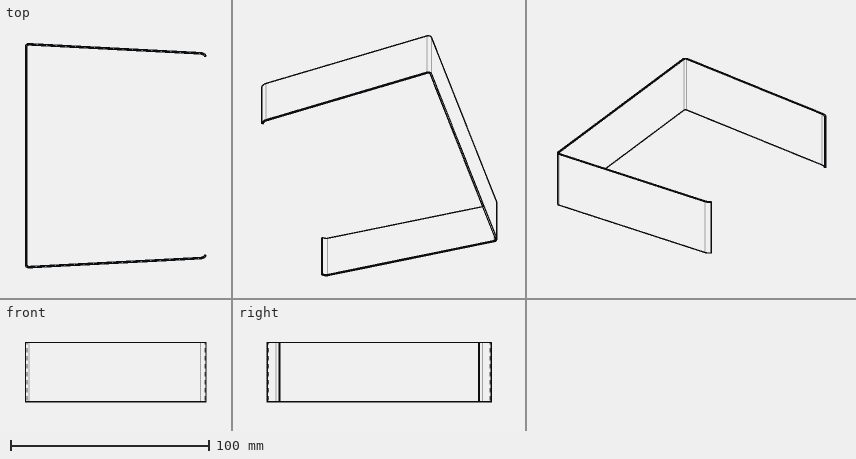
import math

import cadquery as cq

LENGTH = 91.2
WIDTH = 113.1
HEIGHT = 30.0

THICKNESS = 0.8
CORNER_INNER_RADIUS = 1.0
LIP_INNER_RADIUS = 3.0
ARM_LEAN = 3.0
LIP_END_ANGLE = 55.0

CORNER_OUTER_RADIUS = CORNER_INNER_RADIUS + THICKNESS
LIP_OUTER_RADIUS = LIP_INNER_RADIUS + THICKNESS


def on_circle(center, radius, normal_angle):
    """Point on a circle, with the angle in degrees measured from +Y toward +X."""
    angle = math.radians(normal_angle)
    return (center[0] + radius * math.sin(angle), center[1] + radius * math.cos(angle))


def mid_angle(start, end):
    """Angle halfway along a bend."""
    return (start + end) / 2


CORNER_CENTER = (CORNER_OUTER_RADIUS, WIDTH / 2 - CORNER_OUTER_RADIUS)
BACK_NORMAL = -90.0

LIP_CENTER_X = LENGTH - LIP_OUTER_RADIUS * math.sin(math.radians(LIP_END_ANGLE))
RADIUS_STEP = CORNER_INNER_RADIUS - LIP_INNER_RADIUS
LIP_CENTER_Y = (
    CORNER_CENTER[1]
    - (LIP_CENTER_X - CORNER_CENTER[0]) * math.tan(math.radians(ARM_LEAN))
    + RADIUS_STEP / math.cos(math.radians(ARM_LEAN))
)
LIP_CENTER = (LIP_CENTER_X, LIP_CENTER_Y)


def half_clip():
    """The half on the +Y side: half the back plate, a corner bend, an arm and its lip."""
    corner_mid = mid_angle(BACK_NORMAL, ARM_LEAN)
    lip_mid = mid_angle(ARM_LEAN, LIP_END_ANGLE)

    outline = (
        cq.Workplane("XY")
        .moveTo(0, 0)
        .lineTo(*on_circle(CORNER_CENTER, CORNER_OUTER_RADIUS, BACK_NORMAL))
        .threePointArc(
            on_circle(CORNER_CENTER, CORNER_OUTER_RADIUS, corner_mid),
            on_circle(CORNER_CENTER, CORNER_OUTER_RADIUS, ARM_LEAN),
        )
        .lineTo(*on_circle(LIP_CENTER, LIP_OUTER_RADIUS, ARM_LEAN))
        .threePointArc(
            on_circle(LIP_CENTER, LIP_OUTER_RADIUS, lip_mid),
            on_circle(LIP_CENTER, LIP_OUTER_RADIUS, LIP_END_ANGLE),
        )
        .lineTo(*on_circle(LIP_CENTER, LIP_INNER_RADIUS, LIP_END_ANGLE))
        .threePointArc(
            on_circle(LIP_CENTER, LIP_INNER_RADIUS, lip_mid),
            on_circle(LIP_CENTER, LIP_INNER_RADIUS, ARM_LEAN),
        )
        .lineTo(*on_circle(CORNER_CENTER, CORNER_INNER_RADIUS, ARM_LEAN))
        .threePointArc(
            on_circle(CORNER_CENTER, CORNER_INNER_RADIUS, corner_mid),
            on_circle(CORNER_CENTER, CORNER_INNER_RADIUS, BACK_NORMAL),
        )
        .lineTo(THICKNESS, 0)
        .close()
    )
    return outline.extrude(HEIGHT)


upper_half = half_clip()
result = upper_half.union(upper_half.mirror("XZ")).clean()